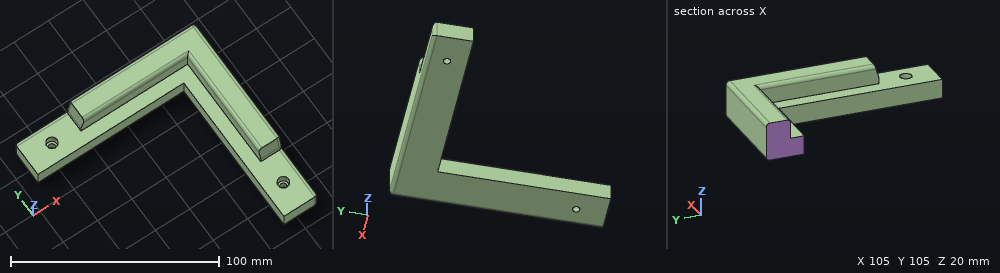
import cadquery as cq

arm_length = 105.0
arm_width = 20.0
total_height = 20.0
rib_width = 12.8
rib_setback = 30.0
edge_radius = 2.0
taper_height = 7.0
taper_run = 2.0
hole_diameter = 3.5
counterbore_diameter = 5.9
counterbore_depth = 5.0
hole_end_distance = 15.0

base_height = total_height / 2
rib_length = arm_length - rib_setback
hole_side_distance = arm_width / 2



def make_angle(length, width, height):
    """L-shaped prism with two equal arms."""
    return (
        cq.Workplane("XY")
        .polyline([
            (0, 0),
            (-length, 0),
            (-length, -width),
            (-width, -width),
            (-width, -length),
            (0, -length),
        ])
        .close()
        .extrude(height)
    )


def round_outer_walls(body):
    """Fillet every edge around the two outer walls of an angle."""
    return body.faces(">X or >Y").edges().fillet(edge_radius)


def swap_arms(body):
    """Mirror a body across the plane X = Y, exchanging the two arms."""
    return body.mirror("YZ").rotate((0, 0, 0), (0, 0, 1), -90)


def make_end_taper():
    """Wedge that slants the end of the rib on the X arm."""
    return (
        cq.Workplane("XZ")
        .polyline([
            (-rib_length, total_height - taper_height),
            (-rib_length, total_height),
            (-rib_length + taper_run, total_height),
        ])
        .close()
        .extrude(rib_width)
    )


def select_inner_top_edges():
    """Selector for the two top edges along the inner walls of the rib."""
    margin = edge_radius / 2
    low = -rib_width - margin
    high = -rib_width + margin
    bottom = total_height - margin
    top = total_height + margin
    x_arm_edge = cq.selectors.BoxSelector((-rib_length, low, bottom), (high, high, top))
    y_arm_edge = cq.selectors.BoxSelector((low, -rib_length, bottom), (high, high, top))
    return x_arm_edge + y_arm_edge


def make_rib():
    """Full-height angle with slanted ends, rounded along its outer walls and inner top edges."""
    taper = make_end_taper()
    rib = make_angle(rib_length, rib_width, total_height)
    rib = rib.cut(taper).cut(swap_arms(taper))
    rib = round_outer_walls(rib)
    return rib.edges(select_inner_top_edges()).fillet(edge_radius)


def make_hole():
    """Counterbored through hole near the end of the X arm."""
    top_center = (-arm_length + hole_end_distance, -hole_side_distance, base_height)
    plane = cq.Workplane("XY", origin=top_center)
    bore = plane.circle(hole_diameter / 2).extrude(-base_height)
    counterbore = plane.circle(counterbore_diameter / 2).extrude(-counterbore_depth)
    return bore.union(counterbore)


base = round_outer_walls(make_angle(arm_length, arm_width, base_height))
hole = make_hole()
result = base.union(make_rib()).cut(hole).cut(swap_arms(hole))